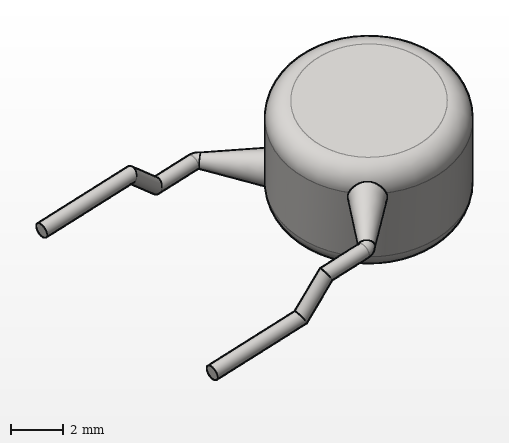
import cadquery as cq
import math


HOUSING_DIAMETER = 8.0
HOUSING_HEIGHT = 5.5
HOUSING_ROUNDING = 1.0
HOUSING_RADIUS = HOUSING_DIAMETER / 2

TOTAL_LENGTH = 16.3
LEAD_SPACING = 10.0
WIRE_DIAMETER = 0.65
LEAD_EXIT_HEIGHT = 1.5
ELBOW_Y = -4.6
ELBOW_BEND_RADIUS = 0.35
KINK_START_Y = -6.5
KINK_END_Y = -7.79
WIRE_RADIUS = WIRE_DIAMETER / 2
LEAD_X = LEAD_SPACING / 2
LEAD_END_Y = HOUSING_RADIUS - TOTAL_LENGTH

PIVOT_X = LEAD_X - ELBOW_BEND_RADIUS
PIVOT_DISTANCE = math.hypot(PIVOT_X, ELBOW_Y)

COLLAR_ROOT_RADIUS = 0.75
COLLAR_TIP_DISTANCE = math.sqrt(PIVOT_DISTANCE**2 - ELBOW_BEND_RADIUS**2)
COLLAR_SLOPE = (COLLAR_ROOT_RADIUS - WIRE_RADIUS) / (COLLAR_TIP_DISTANCE - HOUSING_RADIUS)
COLLAR_INNER_DISTANCE = HOUSING_RADIUS - HOUSING_ROUNDING
COLLAR_INNER_RADIUS = WIRE_RADIUS + COLLAR_SLOPE * (COLLAR_TIP_DISTANCE - COLLAR_INNER_DISTANCE)
PIVOT_ANGLE = math.atan2(-ELBOW_Y, PIVOT_X)
COLLAR_ANGLE = math.degrees(PIVOT_ANGLE - math.asin(ELBOW_BEND_RADIUS / PIVOT_DISTANCE))
ELBOW_TURN = 90 - COLLAR_ANGLE


def make_housing():
    """Upright disc with both rims rounded."""
    base = cq.Workplane("XY", origin=(0, 0, -HOUSING_HEIGHT / 2))
    disc = base.circle(HOUSING_RADIUS).extrude(HOUSING_HEIGHT)
    return disc.faces("|Z").edges().fillet(HOUSING_ROUNDING)


def make_collar(housing):
    """Cone from the elbow to the housing, trimmed to the housing surface."""
    cone = (
        cq.Workplane("XZ")
        .moveTo(COLLAR_INNER_DISTANCE, 0)
        .lineTo(COLLAR_TIP_DISTANCE, 0)
        .lineTo(COLLAR_TIP_DISTANCE, WIRE_RADIUS)
        .lineTo(COLLAR_INNER_DISTANCE, COLLAR_INNER_RADIUS)
        .close()
        .revolve(360, (0, 0), (1, 0))
    )
    placed = cone.rotate((0, 0, 0), (0, 0, 1), -COLLAR_ANGLE).translate((0, 0, LEAD_EXIT_HEIGHT))
    return placed.cut(housing)


def wire_section():
    """Round wire profile where the elbow meets the straight wire."""
    return cq.Workplane("XZ", origin=(LEAD_X, ELBOW_Y, LEAD_EXIT_HEIGHT)).circle(WIRE_RADIUS)


def make_lead():
    """Tight elbow followed by a straight wire with a mitred kink down to the mid-plane."""
    elbow = wire_section().revolve(ELBOW_TURN, (-ELBOW_BEND_RADIUS, 0), (-ELBOW_BEND_RADIUS, 1))
    path = cq.Workplane("YZ", origin=(LEAD_X, 0, 0)).polyline(
        [
            (ELBOW_Y, LEAD_EXIT_HEIGHT),
            (KINK_START_Y, LEAD_EXIT_HEIGHT),
            (KINK_END_Y, 0),
            (LEAD_END_Y, 0),
        ]
    )
    kinked_wire = wire_section().sweep(path, transition="right")
    return kinked_wire.union(elbow)


housing = make_housing()
collar = make_collar(housing)
lead = make_lead()

collars = []
leads = []
for turn in (0, 180):
    collars.append(collar.rotate((0, 0, 0), (0, 1, 0), turn))
    leads.append(lead.rotate((0, 0, 0), (0, 1, 0), turn))

bodies = [housing] + collars + leads
result = cq.Compound.makeCompound([body.solids().val() for body in bodies])